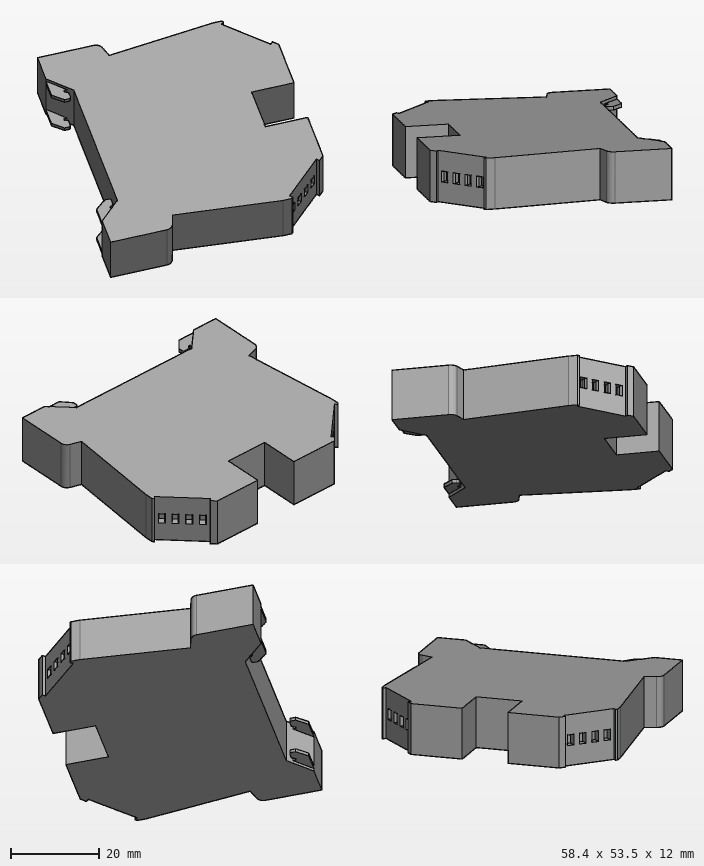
import cadquery as cq

width = 58.4
height = 53.5
thickness = 12.0

half_width = width / 2
shoulder_y = 15.75
shoulder_drop = 1.2
shoulder_radius = 1.75
waist_half = 25.3

flare_half = 28.1
flare_top_y = 40.95

corner_sum = 71.15
lip_rise = 0.6
lower_lip_tip_x = 27.75
upper_lip_tip_x = 18.8

slot_width = 10.9
slot_depth = 10.0

recess_half = 22.5
recess_depth = 5.1

hook_thickness = 0.9
hook_inset = 0.75
hook_tip_x = 15.9
hook_toe_x = 18.05
hook_tip_y = 2.45
hook_top_y = 4.0
hook_top_x = 17.7
hook_tip_radius = 0.5
notch_y = 3.15
notch_inner_x = 18.2
notch_outer_x = 18.65

pocket_count = 4
pocket_pitch = 3.1
pocket_length = 1.65
pocket_width = 2.5
pocket_depth = 1.75
lead_in_depth = 0.65
lead_in_run = 0.3


def mirrored(points):
    """Right-hand points reflected to the left, in reverse order."""
    return [(-x, y) for x, y in reversed(points)]


def make_body():
    slot_half = slot_width / 2
    slot_floor_y = height - slot_depth
    right = [
        (recess_half - recess_depth, recess_depth),
        (recess_half, 0),
        (half_width, 0),
        (half_width, shoulder_y - shoulder_drop),
        (waist_half, shoulder_y),
        (flare_half, flare_top_y),
        (flare_half, corner_sum - flare_half),
        (lower_lip_tip_x, corner_sum - lower_lip_tip_x),
        (lower_lip_tip_x - lip_rise, corner_sum - lower_lip_tip_x - lip_rise),
        (upper_lip_tip_x - lip_rise, corner_sum - upper_lip_tip_x - lip_rise),
        (upper_lip_tip_x, corner_sum - upper_lip_tip_x),
        (corner_sum - height, height),
        (slot_half, height),
        (slot_half, slot_floor_y),
    ]
    body = cq.Workplane("XY").polyline(right + mirrored(right)).close().extrude(thickness)
    for side in (-1, 1):
        corner = (side * half_width, shoulder_y - shoulder_drop, thickness / 2)
        edge = cq.selectors.NearestToPointSelector(corner)
        body = body.edges("|Z").edges(edge).fillet(shoulder_radius)
    return body


def make_hook(base_z):
    """Right-hand hook; its root follows the sloping end of the recess."""
    profile = [
        (recess_half, 0),
        (hook_toe_x, 0),
        (hook_tip_x, hook_tip_y),
        (hook_tip_x, hook_top_y),
        (hook_top_x, hook_top_y),
        (notch_inner_x, notch_y),
        (notch_outer_x, notch_y),
        (notch_outer_x, recess_half - notch_outer_x),
    ]
    base = cq.Workplane("XY").workplane(offset=base_z)
    hook = base.polyline(profile).close().extrude(hook_thickness)
    tip_corner = (hook_tip_x, hook_top_y, base_z + hook_thickness / 2)
    tip_edge = cq.selectors.NearestToPointSelector(tip_corner)
    return hook.edges("|Z").edges(tip_edge).fillet(hook_tip_radius)


def make_corner_pocket(index):
    """Cutter for one pocket of the right-hand corner face, built in a frame on that face."""
    middle_x = (lower_lip_tip_x + upper_lip_tip_x) / 2 - lip_rise
    middle_y = corner_sum - 2 * lip_rise - middle_x
    face = cq.Plane(
        origin=(middle_x, middle_y, (thickness - pocket_width) / 2),
        xDir=(-1, 1, 0),
        normal=(0, 0, 1),
    )
    centre = (index - (pocket_count - 1) / 2) * pocket_pitch
    low = centre - pocket_length / 2
    high = centre + pocket_length / 2
    profile = [
        (low, 0),
        (high, 0),
        (high - lead_in_run, lead_in_depth),
        (high - lead_in_run, pocket_depth),
        (low, pocket_depth),
    ]
    return cq.Workplane(face).polyline(profile).close().extrude(pocket_width)


result = make_body()

for hook_z in (hook_inset, thickness - hook_inset - hook_thickness):
    hook = make_hook(hook_z)
    result = result.union(hook).union(hook.mirror("YZ"))

for pocket_index in range(pocket_count):
    pocket = make_corner_pocket(pocket_index)
    result = result.cut(pocket).cut(pocket.mirror("YZ"))